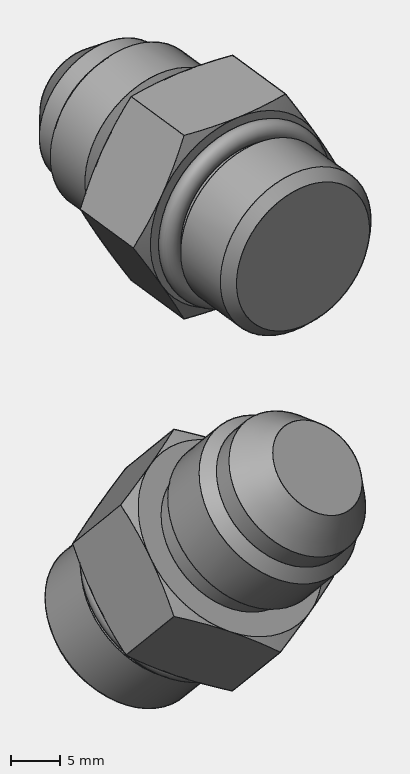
import cadquery as cq
import math

NOSE_TIP_RADIUS = 5.38
NOSE_RADIUS = 16.45 / 2
NOSE_CONE_END = 3.75
NOSE_END = 6.1

THREAD_RADIUS = 19.05 / 2
TUBE_THREAD_START = 7.3
TUBE_THREAD_END = 13.18
NECK_START = 13.85
NECK_RADIUS = 16.7 / 2
PORT_THREAD_START = 29.4
PORT_THREAD_END = 36.1
PORT_END_RADIUS = 16.8 / 2
TOTAL_LENGTH = 37.35

HEX_START = 16.25
HEX_END = 26.4
HEX_ACROSS_FLATS = 22.2
HEX_ACROSS_CORNERS = HEX_ACROSS_FLATS / math.cos(math.radians(30))
HEX_CHAMFER_LENGTH = 0.6

RING_SECTION_RADIUS = 1.12
GROOVE_RADIUS = 16.8 / 2
GROOVE_END = 28.83
RING_CENTER_X = HEX_END + RING_SECTION_RADIUS
RING_MEAN_RADIUS = GROOVE_RADIUS + RING_SECTION_RADIUS


def revolve_about_x(profile):
    """Revolve a closed XY profile a full turn around the X axis."""
    return profile.revolve(360, (0, 0, 0), (1, 0, 0))


def make_stem():
    """Turned stem: conical nose, tube thread, neck, groove and port thread."""
    outline = [
        (0, 0),
        (0, NOSE_TIP_RADIUS),
        (NOSE_CONE_END, NOSE_RADIUS),
        (NOSE_END, NOSE_RADIUS),
        (TUBE_THREAD_START, THREAD_RADIUS),
        (TUBE_THREAD_END, THREAD_RADIUS),
        (NECK_START, NECK_RADIUS),
        (HEX_START, NECK_RADIUS),
        (HEX_START, GROOVE_RADIUS),
        (GROOVE_END, GROOVE_RADIUS),
        (PORT_THREAD_START, THREAD_RADIUS),
        (PORT_THREAD_END, THREAD_RADIUS),
        (TOTAL_LENGTH, PORT_END_RADIUS),
        (TOTAL_LENGTH, 0),
    ]
    return revolve_about_x(cq.Workplane("XY").polyline(outline).close())


def make_hexagon():
    """Hexagon with flats facing +Z and -Z, its corners cut by a cone at both ends."""
    flat_radius = HEX_ACROSS_FLATS / 2
    corner_radius = HEX_ACROSS_CORNERS / 2
    prism = (
        cq.Workplane("YZ", origin=(HEX_START, 0, 0))
        .polygon(6, HEX_ACROSS_CORNERS)
        .extrude(HEX_END - HEX_START)
    )
    chamfer_envelope = [
        (HEX_START, 0),
        (HEX_START, flat_radius),
        (HEX_START + HEX_CHAMFER_LENGTH, corner_radius),
        (HEX_END - HEX_CHAMFER_LENGTH, corner_radius),
        (HEX_END, flat_radius),
        (HEX_END, 0),
    ]
    return prism.intersect(revolve_about_x(cq.Workplane("XY").polyline(chamfer_envelope).close()))


def make_fitting():
    """Fitting body: the turned stem joined with its hexagon."""
    return make_stem().union(make_hexagon())


def make_o_ring():
    """O-ring resting on the floor of the groove and against the hexagon."""
    section = (
        cq.Workplane("XY")
        .center(RING_CENTER_X, RING_MEAN_RADIUS)
        .circle(RING_SECTION_RADIUS)
    )
    axis_start = (0, -RING_MEAN_RADIUS, 0)
    axis_end = (1, -RING_MEAN_RADIUS, 0)
    return section.revolve(360, axis_start, axis_end)


fitting = make_fitting()
o_ring = make_o_ring()

result = cq.Compound.makeCompound([fitting.val(), o_ring.val()])